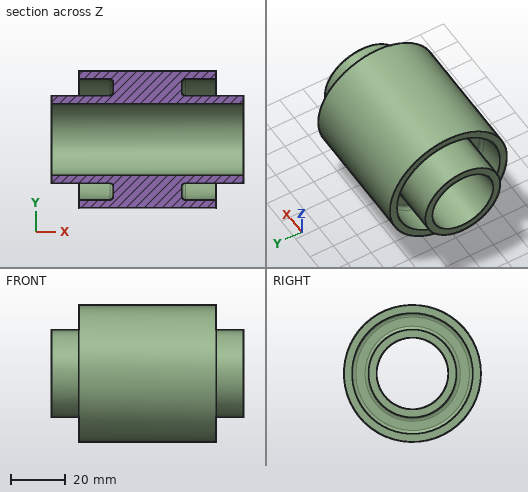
import cadquery as cq

sleeve_length = 70.0
sleeve_outer_diameter = 32.0
bore_diameter = 26.0
shell_length = 50.0
shell_outer_diameter = 50.0
shell_inner_diameter = 44.0

recess_depth = 12.5
recess_fillet = 1.32
web_length = shell_length - 2 * recess_depth


def centred_tube(length, outer_diameter, inner_diameter):
    """Tube along X, centred on the origin."""
    return (
        cq.Workplane("YZ")
        .circle(outer_diameter / 2)
        .circle(inner_diameter / 2)
        .extrude(length / 2, both=True)
    )


def round_recess_floors(body):
    """Fillet the two circular corners at the floor of each annular recess."""
    half_web = web_length / 2
    margin = recess_depth / 2
    for side in (-1, 1):
        floor_region = cq.selectors.BoxSelector(
            (side * half_web - margin, -shell_outer_diameter, -shell_outer_diameter),
            (side * half_web + margin, shell_outer_diameter, shell_outer_diameter),
        )
        body = body.edges("%CIRCLE").edges(floor_region).fillet(recess_fillet)
    return body


sleeve = centred_tube(sleeve_length, sleeve_outer_diameter, bore_diameter)
shell = centred_tube(shell_length, shell_outer_diameter, shell_inner_diameter)
web = centred_tube(web_length, shell_inner_diameter, sleeve_outer_diameter)

result = round_recess_floors(sleeve.union(web).union(shell))